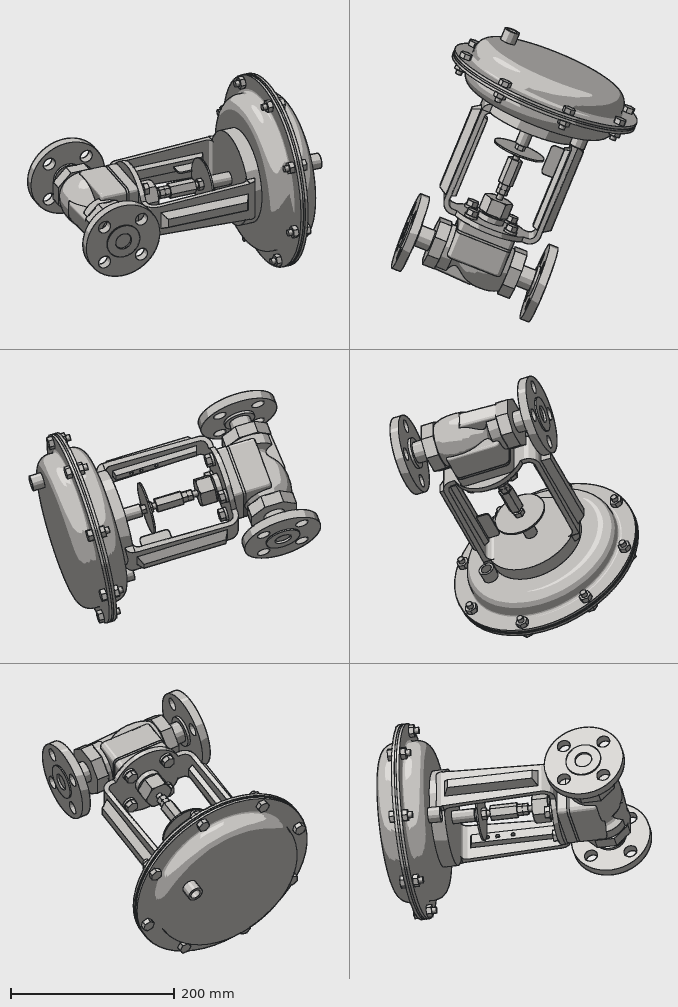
import cadquery as cq
import math


CASING_RADIUS = 98.6
RIM_RADIUS = 120.65
RIM_BOTTOM = 224.8
RIM_TOP = 234.4
CASING_BOTTOM = 199.2
CASING_TOP = 260.0
DOME_RADIUS = 16.8
RIM_ROOT_FILLET = 4.0
DIAPHRAGM_THICKNESS = 2.4
DIAPHRAGM_SETBACK = 0.6
RIM_BOLTS = 8
RIM_BOLT_CIRCLE = 111.2
RIM_BOLT_START = 30.0
RIM_BOLT_RADIUS = 3.8
RIM_HEX = 15.4
RIM_NUT_CHAMFER = 0.8
RIM_HEX_HEIGHT = 6.4
RIM_BOLT_END = 212.9
PORT_OFFSET = 70.5
PORT_ANGLE = 30.0
PORT_RADIUS = 9.55
PORT_BORE = 6.5
PORT_TOP = 274.69
PORT_BOTTOM = 184.3

BOSS_RADIUS = 59.5
BOSS_BOTTOM = 181.6
ARM_OUTER_X = 63.6
ARM_THICKNESS = 6.2
ARM_INNER_X = ARM_OUTER_X - ARM_THICKNESS
FOOT_OUTER_RADIUS = 10.2
FOOT_INNER_RADIUS = 8.0
PLATE_RADIUS = 48.3
PLATE_BOTTOM = 44.3
PLATE_TOP = PLATE_BOTTOM + 6.6
BEND_INNER_RADIUS = 8.5
BEND_OUTER_RADIUS = 14.7
ARM_HALF_WIDTH_LOW = 19.9
ARM_HALF_WIDTH_HIGH = 25.1
FOOT_HALF_WIDTH = 25.6
ARM_TAPER_START = 62.0
FOOT_TOP = BOSS_BOTTOM + FOOT_OUTER_RADIUS
OUTER_RIB_BOTTOM = 62.5
OUTER_RIB_TOP = 179.2
OUTER_RIB_HALF_WIDTH = 11.2
OUTER_RIB_HEIGHT = 10.0
OUTER_RIB_SLOPE = 5.4
INNER_RIB_BOTTOM = 62.5
INNER_RIB_TOP = 170.6
INNER_RIB_HALF_WIDTH = 8.4
INNER_RIB_HEIGHT = 6.5
INNER_RIB_SLOPE = 2.2
RIB_HOLE_RADIUS = 2.4
RIB_HOLE_DEPTH = 5.0
RIB_HOLE_HEIGHTS = (116.3, 135.7, 148.3)
SCALE_PLATE_BOTTOM = 129.2
SCALE_PLATE_TOP = 167.6
SCALE_PLATE_DEPTH = 15.8
SCALE_PLATE_THICKNESS = 2.0
SCALE_PLATE_CORNER = 4.5

SPINDLE_RADIUS = 8.0
SPINDLE_BOTTOM = 153.5
UPPER_NUT_HEX = 12.2
LOCK_NUT_HEX = 14.2
DISC_RADIUS = 32.6
DISC_TOP = 147.0
DISC_BOTTOM = 145.0
LOCK_NUT_BOTTOM = 138.8
STEM_RADIUS = 3.9
COUPLING_HEX = 18.6
COUPLING_TOP = 133.8
COUPLING_BOTTOM = 100.4
STEM_NUT_HEIGHT = 6.75
STEM_NUT_CHAMFER = 0.8

PACKING_HEX = 37.5
PACKING_TOP = 79.8
PACKING_BOTTOM = 60.2
PACKING_CHAMFER = 1.5
NECK_RADIUS = 16.6
NECK_TOP = 58.0
NECK_TIP_RADIUS = 13.7
BONNET_HALF_X = 35.4
BONNET_HALF_Z = 35.7
BONNET_BOTTOM = -4.9
BONNET_CORNER = 6.4
BONNET_EDGE_FILLET = 3.5
JOINT_BOTTOM = 29.0
JOINT_TOP = 32.0
JOINT_DEPTH = 0.5
BONNET_BOLT_PITCH = 26.0
BONNET_BOLT_HEX = 15.6
BONNET_BOLT_HEAD_BOTTOM = 54.0
BONNET_BOLT_HEAD_TOP = 60.6
BONNET_BOLT_RADIUS = 5.0
WASHER_RADIUS = 8.2

END_ACROSS_FLATS = 58.2
END_INNER_X = 41.8
END_OUTER_X = 57.5
BULB_END_RADIUS = 27.4
BULB_RADIUS = 32.4
BULB_CENTER_X = -14.0
SHOULDER_RADIUS = 27.0
SHOULDER_X = 5.5
WAIST_RADIUS = 19.6
WAIST_X = 18.8
COLLAR_RADIUS = 28.3
COLLAR_START_X = 27.8
PAD_START_X = -7.4
PAD_HALF_WIDTH = 12.2
PAD_FILLET = 3.4
PAD_START_Y = -31.6
PAD_END_Y = -29.1

FLANGE_RADIUS = 49.2
FLANGE_INNER_X = 79.4
FLANGE_OUTER_X = 90.6
RAISED_FACE_RADIUS = 21.7
RAISED_FACE_X = 92.5
HUB_RADIUS = 19.4
HUB_X = 76.0
PIPE_RADIUS = 13.4
PIPE_BORE = 10.5
BORE_DEPTH = 3.0
FLANGE_HOLE_RADIUS = 8.0
FLANGE_BOLT_CIRCLE = 34.9
FLANGE_HOLES = 4


def upright(x, y, z):
    """Workplane at a point, facing +Y, with its own x along +X."""
    return cq.Workplane(cq.Plane(origin=(x, y, z), xDir=(1, 0, 0), normal=(0, 1, 0)))


def rod(radius, y_low, y_high, x=0.0, z=0.0):
    return upright(x, y_low, z).circle(radius).extrude(y_high - y_low)


def hexagon(across_corners, y_low, y_high, x=0.0, z=0.0, turn=0.0):
    """Hexagonal prism with one corner at the given angle from +X towards +Z."""
    prism = upright(0, y_low, 0).polygon(6, across_corners).extrude(y_high - y_low)
    return prism.rotate((0, 0, 0), (0, 1, 0), -turn).translate((x, 0, z))


def chamfered_nut(across_corners, y_low, y_high, end, chamfer, x=0.0, z=0.0, turn=0.0):
    """Hexagon whose corners are turned off at one end, "<Y" or ">Y"."""
    cone = rod(across_corners / 2, y_low, y_high, x, z).faces(end).chamfer(chamfer)
    return hexagon(across_corners, y_low, y_high, x, z, turn).intersect(cone)


def around_y(radius, degrees):
    """X and Z of a point on a circle round the actuator axis."""
    angle = math.radians(degrees)
    return radius * math.cos(angle), radius * math.sin(angle)


def make_actuator():
    casing = rod(CASING_RADIUS, CASING_BOTTOM, CASING_TOP)
    casing = casing.faces("<Y or >Y").edges().fillet(DOME_RADIUS)
    rim = rod(RIM_RADIUS, RIM_BOTTOM, RIM_TOP)
    casing = casing.union(rim)
    rim_faces = cq.selectors.BoxSelector(
        (-RIM_RADIUS, RIM_BOTTOM - 0.1, -RIM_RADIUS),
        (RIM_RADIUS, RIM_TOP + 0.1, RIM_RADIUS),
        boundingbox=True,
    )
    root_edges = casing.edges(rim_faces).edges(cq.selectors.RadiusNthSelector(0))
    casing = root_edges.fillet(RIM_ROOT_FILLET)

    middle = (RIM_BOTTOM + RIM_TOP) / 2
    gap = upright(0, middle - DIAPHRAGM_THICKNESS / 2, 0)
    gap = gap.circle(RIM_RADIUS + 1).circle(RIM_RADIUS - DIAPHRAGM_SETBACK)
    casing = casing.cut(gap.extrude(DIAPHRAGM_THICKNESS))

    for index in range(RIM_BOLTS):
        angle = RIM_BOLT_START + index * 360 / RIM_BOLTS
        x, z = around_y(RIM_BOLT_CIRCLE, angle)
        head_top = RIM_TOP + RIM_HEX_HEIGHT
        nut_bottom = RIM_BOTTOM - RIM_HEX_HEIGHT
        casing = casing.union(hexagon(RIM_HEX, RIM_TOP, head_top, x, z, angle))
        nut = chamfered_nut(RIM_HEX, nut_bottom, RIM_BOTTOM, ">Y", RIM_NUT_CHAMFER, x, z, angle)
        casing = casing.union(nut)
        casing = casing.union(rod(RIM_BOLT_RADIUS, RIM_BOLT_END, RIM_BOTTOM, x, z))

    x, z = around_y(PORT_OFFSET, PORT_ANGLE)
    casing = casing.union(rod(PORT_RADIUS, CASING_TOP, PORT_TOP, x, z))
    casing = casing.cut(rod(PORT_BORE, CASING_TOP, PORT_TOP, x, z))
    casing = casing.union(rod(PORT_RADIUS, PORT_BOTTOM, CASING_BOTTOM, -x, -z))
    return casing.cut(rod(PORT_BORE, PORT_BOTTOM, CASING_BOTTOM, -x, -z))


def make_rib(base_x, y_ends, half_width, rise, slope):
    """Rib with sloping sides; `rise` is its height along X and `slope` the inset of its top."""
    y_low, y_high = y_ends
    return (
        cq.Workplane("YZ", origin=(base_x, (y_low + y_high) / 2, 0))
        .rect(y_high - y_low, 2 * half_width)
        .workplane(offset=rise)
        .rect(y_high - y_low - 2 * slope, 2 * (half_width - slope))
        .loft()
    )


def make_arm():
    """Right-hand yoke arm with its foot, bend and ribs; the left arm is its mirror image."""
    foot_x = ARM_OUTER_X - FOOT_OUTER_RADIUS
    foot_middle = FOOT_OUTER_RADIUS * math.sqrt(0.5)
    inner_middle = FOOT_INNER_RADIUS * (1 - math.sqrt(0.5))
    band = (
        cq.Workplane("XY")
        .moveTo(0, PLATE_BOTTOM)
        .lineTo(ARM_OUTER_X - BEND_OUTER_RADIUS, PLATE_BOTTOM)
        .radiusArc((ARM_OUTER_X, PLATE_BOTTOM + BEND_OUTER_RADIUS), -BEND_OUTER_RADIUS)
        .lineTo(ARM_OUTER_X, BOSS_BOTTOM)
        .threePointArc(
            (foot_x + foot_middle, BOSS_BOTTOM + foot_middle),
            (foot_x, FOOT_TOP),
        )
        .lineTo(foot_x - FOOT_INNER_RADIUS, FOOT_TOP)
        .lineTo(ARM_INNER_X - FOOT_INNER_RADIUS, BOSS_BOTTOM)
        .threePointArc(
            (ARM_INNER_X - inner_middle, BOSS_BOTTOM - inner_middle),
            (ARM_INNER_X, BOSS_BOTTOM - FOOT_INNER_RADIUS),
        )
        .lineTo(ARM_INNER_X, PLATE_TOP + BEND_INNER_RADIUS)
        .radiusArc((ARM_INNER_X - BEND_INNER_RADIUS, PLATE_TOP), BEND_INNER_RADIUS)
        .lineTo(0, PLATE_TOP)
        .close()
        .extrude(FOOT_HALF_WIDTH, both=True)
    )
    taper = (
        cq.Workplane("YZ")
        .moveTo(PLATE_BOTTOM, -ARM_HALF_WIDTH_LOW)
        .lineTo(ARM_TAPER_START, -ARM_HALF_WIDTH_LOW)
        .lineTo(BOSS_BOTTOM, -ARM_HALF_WIDTH_HIGH)
        .lineTo(BOSS_BOTTOM, -FOOT_HALF_WIDTH)
        .lineTo(FOOT_TOP, -FOOT_HALF_WIDTH)
        .lineTo(FOOT_TOP, FOOT_HALF_WIDTH)
        .lineTo(BOSS_BOTTOM, FOOT_HALF_WIDTH)
        .lineTo(BOSS_BOTTOM, ARM_HALF_WIDTH_HIGH)
        .lineTo(ARM_TAPER_START, ARM_HALF_WIDTH_LOW)
        .lineTo(PLATE_BOTTOM, ARM_HALF_WIDTH_LOW)
        .close()
        .extrude(ARM_OUTER_X)
    )
    outer_rib = make_rib(
        ARM_OUTER_X,
        (OUTER_RIB_BOTTOM, OUTER_RIB_TOP),
        OUTER_RIB_HALF_WIDTH,
        OUTER_RIB_HEIGHT,
        OUTER_RIB_SLOPE,
    )
    inner_rib = make_rib(
        ARM_INNER_X,
        (INNER_RIB_BOTTOM, INNER_RIB_TOP),
        INNER_RIB_HALF_WIDTH,
        -INNER_RIB_HEIGHT,
        INNER_RIB_SLOPE,
    )
    return band.intersect(taper).union(outer_rib).union(inner_rib)


def make_scale_plate():
    """Travel scale plate standing on the inner rib of the left arm."""
    rib_face = -(ARM_INNER_X - INNER_RIB_HEIGHT)
    middle_y = (SCALE_PLATE_BOTTOM + SCALE_PLATE_TOP) / 2
    return (
        cq.Workplane("XY", origin=(rib_face + SCALE_PLATE_DEPTH / 2, middle_y, 0))
        .box(SCALE_PLATE_DEPTH, SCALE_PLATE_TOP - SCALE_PLATE_BOTTOM, SCALE_PLATE_THICKNESS)
        .edges("|Z and >X")
        .fillet(SCALE_PLATE_CORNER)
    )


def make_yoke():
    arm = make_arm()
    yoke = rod(BOSS_RADIUS, BOSS_BOTTOM, CASING_BOTTOM)
    yoke = yoke.union(rod(PLATE_RADIUS, PLATE_BOTTOM, PLATE_TOP))
    yoke = yoke.union(arm).union(arm.mirror("YZ"))
    rib_face = ARM_INNER_X - INNER_RIB_HEIGHT
    for height in RIB_HOLE_HEIGHTS:
        hole = cq.Workplane("YZ", origin=(rib_face, height, 0))
        yoke = yoke.cut(hole.circle(RIB_HOLE_RADIUS).extrude(RIB_HOLE_DEPTH))
    yoke = yoke.cut(rod(NECK_RADIUS, PLATE_BOTTOM, PLATE_TOP))
    for x, z in BONNET_BOLT_PLACES:
        yoke = yoke.cut(rod(BONNET_BOLT_RADIUS, PLATE_BOTTOM, PLATE_TOP, x, z))
    return yoke.union(make_scale_plate())


def make_stem():
    lower_nut_bottom = COUPLING_BOTTOM - 2 * STEM_NUT_HEIGHT
    stem = rod(STEM_RADIUS, PACKING_TOP, SPINDLE_BOTTOM)
    stem = stem.union(rod(SPINDLE_RADIUS, SPINDLE_BOTTOM, BOSS_BOTTOM))
    stem = stem.union(hexagon(UPPER_NUT_HEX, DISC_TOP, SPINDLE_BOTTOM))
    stem = stem.union(rod(DISC_RADIUS, DISC_BOTTOM, DISC_TOP))
    stem = stem.union(hexagon(LOCK_NUT_HEX, LOCK_NUT_BOTTOM, DISC_BOTTOM))
    stem = stem.union(hexagon(COUPLING_HEX, COUPLING_BOTTOM, COUPLING_TOP))
    for index in range(2):
        low = lower_nut_bottom + index * STEM_NUT_HEIGHT
        high = low + STEM_NUT_HEIGHT
        stem = stem.union(chamfered_nut(LOCK_NUT_HEX, low, high, ">Y", STEM_NUT_CHAMFER))
    return stem


def make_bonnet():
    bonnet = (
        upright(0, BONNET_BOTTOM, 0)
        .rect(2 * BONNET_HALF_X, 2 * BONNET_HALF_Z)
        .extrude(PLATE_BOTTOM - BONNET_BOTTOM)
        .edges("|Y")
        .fillet(BONNET_CORNER)
        .faces("<Y")
        .edges()
        .fillet(BONNET_EDGE_FILLET)
    )
    core = (
        upright(0, JOINT_BOTTOM, 0)
        .rect(2 * (BONNET_HALF_X - JOINT_DEPTH), 2 * (BONNET_HALF_Z - JOINT_DEPTH))
        .extrude(JOINT_TOP - JOINT_BOTTOM)
        .edges("|Y")
        .fillet(BONNET_CORNER - JOINT_DEPTH)
    )
    slab = upright(0, JOINT_BOTTOM, 0).rect(3 * BONNET_HALF_X, 3 * BONNET_HALF_Z)
    groove = slab.extrude(JOINT_TOP - JOINT_BOTTOM).cut(core)
    bonnet = bonnet.cut(groove)

    bonnet = bonnet.union(rod(NECK_RADIUS, PLATE_BOTTOM, NECK_TOP))
    bonnet = bonnet.union(rod(NECK_TIP_RADIUS, NECK_TOP, PACKING_BOTTOM))
    packing_nut = chamfered_nut(PACKING_HEX, PACKING_BOTTOM, PACKING_TOP, ">Y", PACKING_CHAMFER)
    bonnet = bonnet.union(packing_nut)
    for x, z in BONNET_BOLT_PLACES:
        bonnet = bonnet.union(rod(BONNET_BOLT_RADIUS, PLATE_BOTTOM, PLATE_TOP, x, z))
        bonnet = bonnet.union(rod(WASHER_RADIUS, PLATE_TOP, BONNET_BOLT_HEAD_BOTTOM, x, z))
        head = hexagon(BONNET_BOLT_HEX, BONNET_BOLT_HEAD_BOTTOM, BONNET_BOLT_HEAD_TOP, x, z, 90)
        bonnet = bonnet.union(head)
    return bonnet


def make_pad():
    """Sloping flat pad along the underside, with rounded edges."""
    return (
        cq.Workplane("XY")
        .moveTo(PAD_START_X, 0)
        .lineTo(PAD_START_X, PAD_START_Y)
        .lineTo(END_INNER_X, PAD_END_Y)
        .lineTo(END_INNER_X, 0)
        .close()
        .extrude(PAD_HALF_WIDTH, both=True)
        .faces("<Y")
        .edges("not >X")
        .fillet(PAD_FILLET)
    )


def make_valve():
    chamber = (
        cq.Workplane("XY")
        .moveTo(-END_INNER_X, 0)
        .lineTo(-END_INNER_X, BULB_END_RADIUS)
        .spline(
            [
                (BULB_CENTER_X, BULB_RADIUS),
                (SHOULDER_X, SHOULDER_RADIUS),
                (WAIST_X, WAIST_RADIUS),
                (COLLAR_START_X, COLLAR_RADIUS),
            ],
            includeCurrent=True,
        )
        .lineTo(END_INNER_X, COLLAR_RADIUS)
        .lineTo(END_INNER_X, 0)
        .close()
        .revolve(360, (0, 0, 0), (1, 0, 0))
    )
    valve = chamber.union(make_bonnet()).union(make_pad())
    corner_circle = END_ACROSS_FLATS / math.cos(math.pi / 8)
    for start in (-END_OUTER_X, END_INNER_X):
        end = (
            cq.Workplane("YZ", origin=(start, 0, 0))
            .polygon(8, corner_circle)
            .extrude(END_OUTER_X - END_INNER_X)
            .rotate((0, 0, 0), (1, 0, 0), 180 / 8)
        )
        valve = valve.union(end)
    return valve


def make_pipe_flange(side):
    """Weld-neck pipe flange on the +X (side=1) or -X (side=-1) end."""
    def disc(radius, x_start, x_end):
        return cq.Workplane("YZ", origin=(x_start, 0, 0)).circle(radius).extrude(x_end - x_start)

    flange = disc(FLANGE_RADIUS, FLANGE_INNER_X, FLANGE_OUTER_X)
    flange = flange.union(disc(RAISED_FACE_RADIUS, FLANGE_OUTER_X, RAISED_FACE_X))
    flange = flange.union(disc(HUB_RADIUS, HUB_X, FLANGE_INNER_X))
    flange = flange.union(disc(PIPE_RADIUS, END_OUTER_X, HUB_X))
    flange = flange.cut(disc(PIPE_BORE, RAISED_FACE_X - BORE_DEPTH, RAISED_FACE_X))
    holes = (
        cq.Workplane("YZ", origin=(FLANGE_INNER_X, 0, 0))
        .polarArray(FLANGE_BOLT_CIRCLE, 45, 360, FLANGE_HOLES)
        .circle(FLANGE_HOLE_RADIUS)
        .extrude(FLANGE_OUTER_X - FLANGE_INNER_X)
    )
    flange = flange.cut(holes)
    if side < 0:
        flange = flange.mirror("YZ")
    return flange


BONNET_BOLT_PLACES = [
    (x * BONNET_BOLT_PITCH, z * BONNET_BOLT_PITCH) for x in (-1, 1) for z in (-1, 1)
]

actuator = make_actuator()
yoke = make_yoke()
stem = make_stem()
valve = make_valve()
pipe_flanges = [make_pipe_flange(side) for side in (-1, 1)]

result = cq.Compound.makeCompound(
    [actuator.val(), yoke.val(), stem.val(), valve.val()]
    + [flange.val() for flange in pipe_flanges]
)